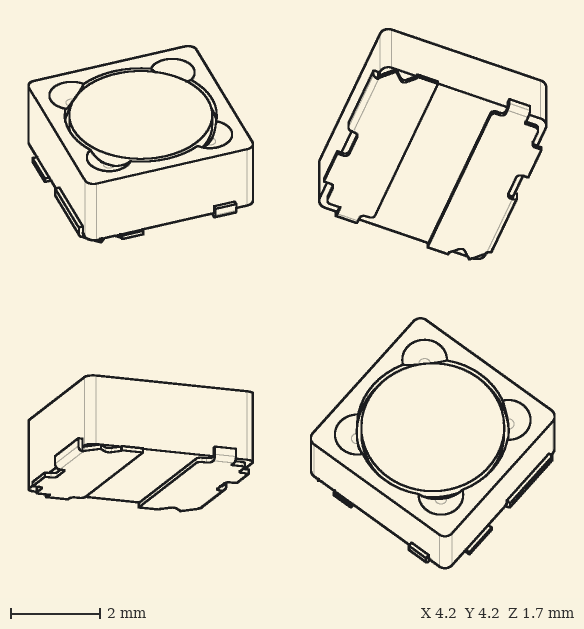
import cadquery as cq
import math


BODY_SIDE = 4.0
BODY_HEIGHT = 1.6
BODY_CORNER_RADIUS = 0.2
GROOVE_OUTER_RADIUS = 1.7
GROOVE_WIDTH = 0.1
GROOVE_DEPTH = 0.3

POCKET_OFFSET = 1.2
POCKET_RADIUS = 0.5
POCKET_FLOOR_RADIUS = 0.13
POCKET_DEPTH = 0.2

SHEET = 0.1
PLAN_RADIUS = 0.1
BEND_RADIUS = 0.118
WALL_HEIGHT = 0.3
BODY_EDGE = BODY_SIDE / 2
TAB_REACH = BODY_EDGE + SHEET
SHORT_TAB_REACH = BODY_EDGE + SHEET / 2

INNER_Y = -0.7
PLATE_LEFT_X = -1.8
PLATE_FRONT_Y = -1.85
SIDE_TAB_Y = -1.0
SIDE_TAB_WIDTH = 0.5
SHORT_TAB_WIDTH = 0.5
NARROW_TAB_X = -1.3
NARROW_TAB_WIDTH = 0.8
WIDE_TAB_X = 0.155
WIDE_TAB_WIDTH = 1.51
NOTCH_DEPTH = 0.245


def pocket_cutter(x, y):
    """Spherical bowl with a flat floor."""
    top = SHEET + BODY_HEIGHT
    floor = top - POCKET_DEPTH
    centre_rise = (POCKET_RADIUS**2 - POCKET_FLOOR_RADIUS**2 - POCKET_DEPTH**2) / (2 * POCKET_DEPTH)
    sphere_radius = math.hypot(POCKET_RADIUS, centre_rise)
    wall_middle_height = top - POCKET_DEPTH / 2
    wall_middle_radius = math.sqrt(sphere_radius**2 - (centre_rise + POCKET_DEPTH / 2) ** 2)
    return (
        cq.Workplane("XZ")
        .moveTo(0, floor)
        .lineTo(POCKET_FLOOR_RADIUS, floor)
        .threePointArc((wall_middle_radius, wall_middle_height), (POCKET_RADIUS, top))
        .lineTo(0, top)
        .close()
        .revolve(360, (0, 0, 0), (0, 1, 0))
        .translate((x, y, 0))
    )


def make_body():
    """Rounded block with an annular groove around a central drum and four pockets."""
    body = (
        cq.Workplane("XY", origin=(0, 0, SHEET))
        .rect(BODY_SIDE, BODY_SIDE)
        .extrude(BODY_HEIGHT)
        .edges("|Z")
        .fillet(BODY_CORNER_RADIUS)
    )
    groove = (
        cq.Workplane("XY", origin=(0, 0, SHEET + BODY_HEIGHT))
        .circle(GROOVE_OUTER_RADIUS)
        .circle(GROOVE_OUTER_RADIUS - GROOVE_WIDTH)
        .extrude(-GROOVE_DEPTH)
    )
    drum = (
        cq.Workplane("XY", origin=(0, 0, SHEET))
        .circle(GROOVE_OUTER_RADIUS - GROOVE_WIDTH)
        .extrude(BODY_HEIGHT)
    )
    for x in (-POCKET_OFFSET, POCKET_OFFSET):
        for y in (-POCKET_OFFSET, POCKET_OFFSET):
            body = body.cut(pocket_cutter(x, y).cut(drum))
    return body.cut(groove)


def rounded_outline(corners):
    """Closed outline through (x, y, radius) corners, each rounded by a tangent arc."""
    points = [cq.Vector(x, y) for x, y, _ in corners]
    outline = None
    for i, (_, _, radius) in enumerate(corners):
        corner = points[i]
        back = (points[i - 1] - corner).normalized()
        ahead = (points[(i + 1) % len(points)] - corner).normalized()
        half_angle = back.getAngle(ahead) / 2
        setback = radius / math.tan(half_angle)
        start = corner + back * setback
        if outline is None:
            outline = cq.Workplane("XY").moveTo(start.x, start.y)
        else:
            outline = outline.lineTo(start.x, start.y)
        if radius > 0:
            bisector = (back + ahead).normalized()
            middle = corner + bisector * (radius / math.sin(half_angle) - radius)
            end = corner + ahead * setback
            outline = outline.threePointArc((middle.x, middle.y), (end.x, end.y))
    return outline.close()


def terminal_plate():
    """Flat sheet with every tab but the wide one."""
    side_tab_end_y = SIDE_TAB_Y - SIDE_TAB_WIDTH
    narrow_tab_end_x = NARROW_TAB_X + NARROW_TAB_WIDTH
    short_tab_end_y = INNER_Y - SHORT_TAB_WIDTH
    notch_y = short_tab_end_y - NOTCH_DEPTH
    tip_y = notch_y - NOTCH_DEPTH
    corners = [
        (PLATE_LEFT_X, INNER_Y, PLAN_RADIUS),
        (PLATE_LEFT_X, SIDE_TAB_Y, PLAN_RADIUS),
        (-TAB_REACH, SIDE_TAB_Y, 0),
        (-TAB_REACH, side_tab_end_y, 0),
        (PLATE_LEFT_X, side_tab_end_y, 0),
        (PLATE_LEFT_X, PLATE_FRONT_Y, PLAN_RADIUS),
        (NARROW_TAB_X, PLATE_FRONT_Y, PLAN_RADIUS),
        (NARROW_TAB_X, -TAB_REACH, 0),
        (narrow_tab_end_x, -TAB_REACH, 0),
        (narrow_tab_end_x, PLATE_FRONT_Y, PLAN_RADIUS),
        (WIDE_TAB_X, PLATE_FRONT_Y, PLAN_RADIUS),
        (WIDE_TAB_X, -BODY_EDGE, 0),
        (-tip_y, -BODY_EDGE, PLAN_RADIUS),
        (BODY_EDGE, tip_y, 0),
        (BODY_EDGE - NOTCH_DEPTH, notch_y, PLAN_RADIUS),
        (BODY_EDGE, short_tab_end_y, 0),
        (SHORT_TAB_REACH, short_tab_end_y, 0),
        (SHORT_TAB_REACH, INNER_Y, 0),
    ]
    return rounded_outline(corners).extrude(SHEET)


def make_terminal():
    """Terminal on the -Y side, with its side and wide tabs bent up against the body."""
    side_wall = cq.Workplane("XY").box(SHEET, SIDE_TAB_WIDTH, WALL_HEIGHT, centered=False)
    side_wall = side_wall.translate((-TAB_REACH, SIDE_TAB_Y - SIDE_TAB_WIDTH, 0))
    wide_wall = cq.Workplane("XY").box(WIDE_TAB_WIDTH, SHEET, WALL_HEIGHT, centered=False)
    wide_wall = wide_wall.translate((WIDE_TAB_X, -TAB_REACH, 0))
    wide_root = cq.Workplane("XY").box(WIDE_TAB_WIDTH, TAB_REACH + PLATE_FRONT_Y, SHEET, centered=False)
    wide_root = wide_root.translate((WIDE_TAB_X, -TAB_REACH, 0))
    terminal = terminal_plate().union(side_wall).union(wide_root).union(wide_wall)

    side_bend = (-TAB_REACH, SIDE_TAB_Y - SIDE_TAB_WIDTH / 2, 0)
    wide_bend = (WIDE_TAB_X + WIDE_TAB_WIDTH / 2, -TAB_REACH, 0)
    for bend in (side_bend, wide_bend):
        terminal = terminal.edges(cq.NearestToPointSelector(bend)).fillet(BEND_RADIUS)
    return terminal


body = make_body()
terminals = [make_terminal().rotate((0, 0, 0), (0, 0, 1), turn) for turn in (0, 180)]

result = cq.Compound.makeCompound([body.val(), *[terminal.val() for terminal in terminals]])